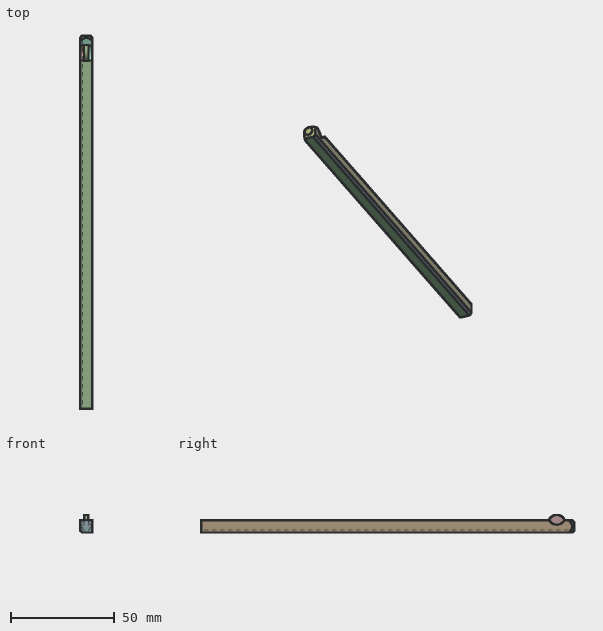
import cadquery as cq
import math

bar_width = 6.0
bar_height = 6.0
bar_length = 180.0
edge_chamfer = 1.2

tip_flat_radius = 2.0
cone_half_angle = 42.0
corner_clearance = 0.5

notch_chord = 7.25
notch_depth = 2.2
fin_chord = 7.7
fin_height = 2.6
fin_thickness = 2.0
fin_from_tip = 8.5

tip_y = bar_length / 2
fin_y = tip_y - fin_from_tip


def make_bar():
    """Square bar with its lower -X edge chamfered."""
    bar = cq.Workplane("XY").box(bar_width, bar_length, bar_height, centered=(True, True, False))
    return bar.faces("<X").edges("<Z").chamfer(edge_chamfer)


def make_turned_envelope():
    """Solid of revolution about the bar axis, clear of the bar corners, with a cone at the +Y end."""
    outer_radius = math.hypot(bar_width, bar_height) / 2 + corner_clearance
    cone_length = (outer_radius - tip_flat_radius) / math.tan(math.radians(cone_half_angle))
    profile = (
        cq.Workplane("XY")
        .moveTo(0, -tip_y)
        .lineTo(outer_radius, -tip_y)
        .lineTo(outer_radius, tip_y - cone_length)
        .lineTo(tip_flat_radius, tip_y)
        .lineTo(0, tip_y)
        .close()
    )
    return profile.revolve(360, (0, 0, 0), (0, 1, 0)).translate((0, 0, bar_height / 2))


def make_lens(chord, width):
    """Prism along X with an arc above and an arc below the plane of the bar's top face."""
    half_chord = chord / 2
    return (
        cq.Workplane("YZ")
        .moveTo(fin_y - half_chord, bar_height)
        .threePointArc((fin_y, bar_height + fin_height), (fin_y + half_chord, bar_height))
        .threePointArc((fin_y, bar_height - notch_depth), (fin_y - half_chord, bar_height))
        .close()
        .extrude(width / 2, both=True)
    )


turned_bar = make_bar().intersect(make_turned_envelope())
notch = make_lens(notch_chord, bar_width)
fin = make_lens(fin_chord, fin_thickness)
result = turned_bar.cut(notch).union(fin)